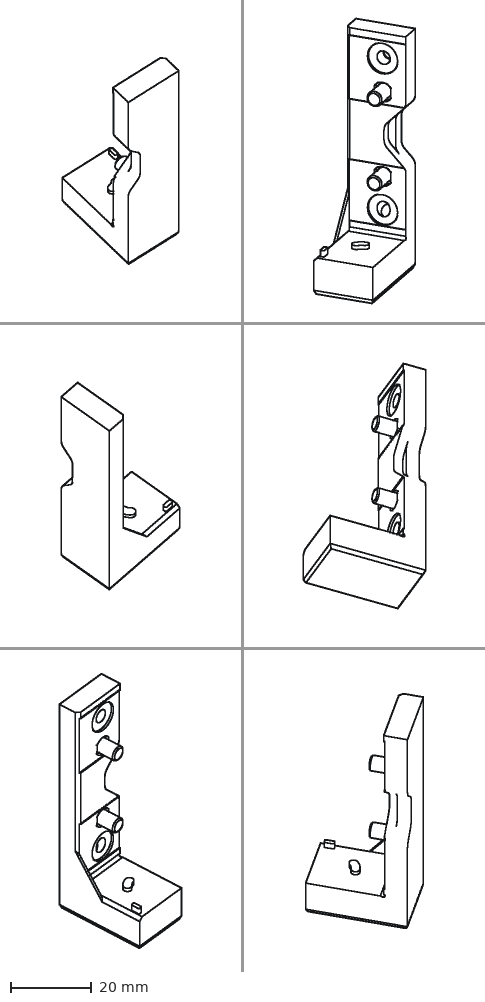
import cadquery as cq
import math

LENGTH = 26.0
DEPTH = 16.05
HEIGHT = 64.0

FOOT_TOP = 9.9
PAD_X = 19.9
PAD_RISE = 0.25
WALL_X = PAD_X + PAD_RISE
TOP_PAD_BOTTOM = 61.95
LOW_PAD_TOP = 12.4
MIDDLE_Z = 36.85
MIDDLE_PAD_HEIGHT = 16.1
BOTTOM_CHAMFER_HEIGHT = 1.15
BOTTOM_CHAMFER_INSET = 0.5

BEVEL = 0.95

RELIEF_START_X = 19.1
RELIEF_FLAT_X = 19.65
RELIEF_DEPTH = 0.2
RELIEF_WALL_Z = 10.4
RELIEF_END_Z = 10.75

GUSSET_THICKNESS = 0.7
GUSSET_START_X = 12.15
GUSSET_ANGLE = 53.0

NOTCH_FLANK_ANGLE = math.radians(45)
NOTCH_HALF_MOUTH = 8.3
NOTCH_DEEP = 5.8
NOTCH_SHALLOW = 3.8
NOTCH_STEP_X = 22.4
NOTCH_RADIUS = 3.0

HOLE_Y = 6.35
PIN_SPACING = 22.5
PIN_HEIGHTS = [MIDDLE_Z - PIN_SPACING / 2, MIDDLE_Z + PIN_SPACING / 2]
PIN_DIAMETER = 4.0
PIN_TIP_X = 15.0
PIN_INSERTION = 4.0
PIN_CHAMFER = 0.4
POCKET_DIAMETER = 5.2
POCKET_WIDTH = 4.4
POCKET_DEPTH = 1.15
SCREW_SPACING = 40.45
SCREW_DIAMETER = 3.5
SCREW_DEPTH = 4.5
SCREW_FLOOR_CHAMFER = 0.1
SPOTFACE_DIAMETER = 8.1
SPOTFACE_DEPTH = 0.65
LOW_HOLE_TILT = 30.0
LOW_HOLE_LENGTH = 3.2

BLOCK_X = 1.2
BLOCK_LENGTH = 2.55
BLOCK_Y = 13.75
BLOCK_WIDTH = 1.1
BLOCK_HEIGHT = 1.65
BLOCK_CORNER = 0.25
KIDNEY_X = 10.6
KIDNEY_Y = 8.05
KIDNEY_CHORD = 2.1
KIDNEY_WIDTH = 2.25
KIDNEY_HEIGHT = 1.0
KIDNEY_ARC_RADIUS = 3.2
KIDNEY_TILT = 27.0


def extrude_along_y(profile, y_start, y_end):
    """Extrude a closed XZ profile from y_start to y_end."""
    return profile.extrude(y_start - y_end).translate((0, y_start, 0))


def cylinder_along_x(x_start, z, diameter, length):
    """Cylinder on the hole line, starting at x_start and running toward +X."""
    plane = cq.Plane(origin=(x_start, HOLE_Y, z), xDir=(0, 1, 0), normal=(1, 0, 0))
    return cq.Workplane(plane).circle(diameter / 2).extrude(length)


def make_foot():
    foot = cq.Workplane("XY").box(LENGTH, DEPTH, FOOT_TOP, centered=False)
    bevel = (
        cq.Workplane("YZ")
        .moveTo(DEPTH, FOOT_TOP)
        .lineTo(DEPTH - BEVEL, FOOT_TOP)
        .lineTo(DEPTH, FOOT_TOP - BEVEL)
        .close()
        .extrude(LENGTH)
    )
    return foot.cut(bevel)


def make_wall():
    """Upright plate with three raised pads and a bevelled rear edge."""
    wall = cq.Workplane("XY").box(LENGTH - WALL_X, DEPTH, HEIGHT, centered=False)
    wall = wall.translate((WALL_X, 0, 0))
    middle_pad_bottom = MIDDLE_Z - MIDDLE_PAD_HEIGHT / 2
    pad_spans = [
        (0, LOW_PAD_TOP),
        (middle_pad_bottom, middle_pad_bottom + MIDDLE_PAD_HEIGHT),
        (TOP_PAD_BOTTOM, HEIGHT),
    ]
    for bottom, top in pad_spans:
        pad = cq.Workplane("XY").box(PAD_RISE, DEPTH, top - bottom, centered=False)
        wall = wall.union(pad.translate((PAD_X, 0, bottom)))
    bevel = (
        cq.Workplane("XY")
        .moveTo(PAD_X, DEPTH)
        .lineTo(PAD_X, DEPTH - BEVEL)
        .lineTo(PAD_X + BEVEL, DEPTH)
        .close()
        .extrude(HEIGHT)
    )
    return wall.cut(bevel)


def make_corner_relief():
    floor_z = FOOT_TOP - RELIEF_DEPTH
    profile = (
        cq.Workplane("XZ")
        .moveTo(RELIEF_START_X, FOOT_TOP)
        .lineTo(RELIEF_FLAT_X, floor_z)
        .tangentArcPoint((WALL_X, RELIEF_WALL_Z), relative=False)
        .lineTo(PAD_X, RELIEF_END_Z)
        .lineTo(PAD_X, FOOT_TOP)
        .close()
    )
    return extrude_along_y(profile, 0, DEPTH)


def make_gusset():
    start_z = FOOT_TOP - BEVEL
    end_x = PAD_X + BEVEL
    rise = (end_x - GUSSET_START_X) * math.tan(math.radians(GUSSET_ANGLE))
    profile = (
        cq.Workplane("XZ")
        .moveTo(GUSSET_START_X, start_z)
        .lineTo(end_x, start_z + rise)
        .lineTo(end_x, start_z)
        .close()
    )
    return extrude_along_y(profile, DEPTH - GUSSET_THICKNESS, DEPTH)


def make_notch_step(depth, x_start, x_end):
    """Trapezoid cutter with rounded floor corners, open toward -Y."""
    half_floor = NOTCH_HALF_MOUTH - depth / math.tan(NOTCH_FLANK_ANGLE)
    return (
        cq.Workplane("YZ", origin=(x_start, 0, MIDDLE_Z))
        .moveTo(0, -NOTCH_HALF_MOUTH)
        .lineTo(depth, -half_floor)
        .lineTo(depth, half_floor)
        .lineTo(0, NOTCH_HALF_MOUTH)
        .close()
        .extrude(x_end - x_start)
        .edges("|X and >Y")
        .fillet(NOTCH_RADIUS)
    )


def make_mouth_rounding():
    """Slivers that round the two convex corners at the mouth of the notch."""
    tangent = NOTCH_RADIUS * math.tan(NOTCH_FLANK_ANGLE / 2)
    rounded_y = tangent * math.sin(NOTCH_FLANK_ANGLE)
    rounded_z = tangent * math.cos(NOTCH_FLANK_ANGLE)
    slivers = cq.Workplane("XY")
    for side in (-1, 1):
        corner_z = side * NOTCH_HALF_MOUTH
        sliver = (
            cq.Workplane("YZ", origin=(PAD_X, 0, MIDDLE_Z))
            .moveTo(rounded_y, corner_z - side * rounded_z)
            .lineTo(0, corner_z)
            .lineTo(0, corner_z + side * tangent)
            .radiusArc((rounded_y, corner_z - side * rounded_z), -side * NOTCH_RADIUS)
            .close()
            .extrude(LENGTH - PAD_X)
        )
        slivers = slivers.add(sliver)
    return slivers.combine()


def make_pin_pocket(z):
    """Round pocket flattened on two sides, with the pin's hole behind it."""
    clip = cq.Workplane("XY").box(LENGTH, POCKET_WIDTH, POCKET_DIAMETER)
    clip = clip.translate((WALL_X, HOLE_Y, z))
    pocket = cylinder_along_x(WALL_X, z, POCKET_DIAMETER, POCKET_DEPTH).intersect(clip)
    return pocket.union(cylinder_along_x(WALL_X, z, PIN_DIAMETER, PIN_INSERTION))


def make_top_screw_hole(z):
    """Spotface with a straight blind hole, bevelled around its floor."""
    spotface = cylinder_along_x(WALL_X, z, SPOTFACE_DIAMETER, SPOTFACE_DEPTH)
    hole = cylinder_along_x(WALL_X, z, SCREW_DIAMETER, SCREW_DEPTH)
    return spotface.union(hole.faces(">X").chamfer(SCREW_FLOOR_CHAMFER))


def make_low_screw_hole(z):
    """Spotface with a blind hole that slopes down into the wall."""
    spotface = cylinder_along_x(WALL_X, z, SPOTFACE_DIAMETER, SPOTFACE_DEPTH)
    floor_x = WALL_X + SPOTFACE_DEPTH
    full_length = SCREW_DIAMETER + LOW_HOLE_LENGTH
    hole = cylinder_along_x(floor_x - SCREW_DIAMETER, z, SCREW_DIAMETER, full_length)
    hole = hole.rotate((floor_x, HOLE_Y, z), (floor_x, HOLE_Y + 0.65, z), LOW_HOLE_TILT)
    in_front = cq.Workplane("XY").box(LENGTH, DEPTH, HEIGHT).translate((floor_x - LENGTH / 2, HOLE_Y, z))
    return spotface.union(hole.cut(in_front))


def make_block_tab():
    block = cq.Workplane("XY").box(BLOCK_LENGTH, BLOCK_WIDTH, BLOCK_HEIGHT, centered=False)
    return block.edges("|Z").fillet(BLOCK_CORNER).translate((BLOCK_X, BLOCK_Y, FOOT_TOP))


def make_kidney_tab():
    """Curved slot shape with round ends, bulging along its local +X."""
    half_angle = math.asin(KIDNEY_CHORD / 2 / KIDNEY_ARC_RADIUS)
    outer = KIDNEY_ARC_RADIUS + KIDNEY_WIDTH / 2
    inner = KIDNEY_ARC_RADIUS - KIDNEY_WIDTH / 2

    def polar(radius, angle):
        return (radius * math.cos(angle) - KIDNEY_ARC_RADIUS, radius * math.sin(angle))

    tab = (
        cq.Workplane("XY")
        .moveTo(*polar(outer, -half_angle))
        .threePointArc(polar(outer, 0), polar(outer, half_angle))
        .tangentArcPoint(polar(inner, half_angle), relative=False)
        .threePointArc(polar(inner, 0), polar(inner, -half_angle))
        .tangentArcPoint(polar(outer, -half_angle), relative=False)
        .close()
        .extrude(KIDNEY_HEIGHT)
    )
    return tab.rotate((0, 0, 0), (0, 0, 1), KIDNEY_TILT).translate((KIDNEY_X, KIDNEY_Y, FOOT_TOP))


def make_bottom_chamfer_envelope():
    """Block around the bracket whose lowest stretch narrows to the chamfered bottom face."""
    taper = math.degrees(math.atan(BOTTOM_CHAMFER_INSET / BOTTOM_CHAMFER_HEIGHT))
    outline = cq.Workplane("XY", origin=(LENGTH / 2, DEPTH / 2, BOTTOM_CHAMFER_HEIGHT))
    upper = outline.rect(LENGTH, DEPTH).extrude(HEIGHT - BOTTOM_CHAMFER_HEIGHT)
    lower = outline.rect(LENGTH, DEPTH).extrude(-BOTTOM_CHAMFER_HEIGHT, taper=taper)
    return upper.union(lower)


def make_bracket():
    bracket = make_foot().union(make_wall())
    bracket = bracket.intersect(make_bottom_chamfer_envelope())
    bracket = bracket.cut(make_corner_relief()).union(make_gusset())
    bracket = bracket.cut(make_notch_step(NOTCH_DEEP, PAD_X, NOTCH_STEP_X))
    bracket = bracket.cut(make_notch_step(NOTCH_SHALLOW, NOTCH_STEP_X, LENGTH))
    bracket = bracket.cut(make_mouth_rounding())
    for z in PIN_HEIGHTS:
        bracket = bracket.cut(make_pin_pocket(z))
    bracket = bracket.cut(make_top_screw_hole(MIDDLE_Z + SCREW_SPACING / 2))
    bracket = bracket.cut(make_low_screw_hole(MIDDLE_Z - SCREW_SPACING / 2))
    return bracket.union(make_block_tab()).union(make_kidney_tab())


def make_pin(z):
    """Round pin with a chamfered tip, seated in its hole in the wall."""
    length = WALL_X + PIN_INSERTION - PIN_TIP_X
    return cylinder_along_x(PIN_TIP_X, z, PIN_DIAMETER, length).faces("<X").chamfer(PIN_CHAMFER)


bracket = make_bracket()
pins = [make_pin(z) for z in PIN_HEIGHTS]

result = cq.Compound.makeCompound([bracket.val(), *[pin.val() for pin in pins]])